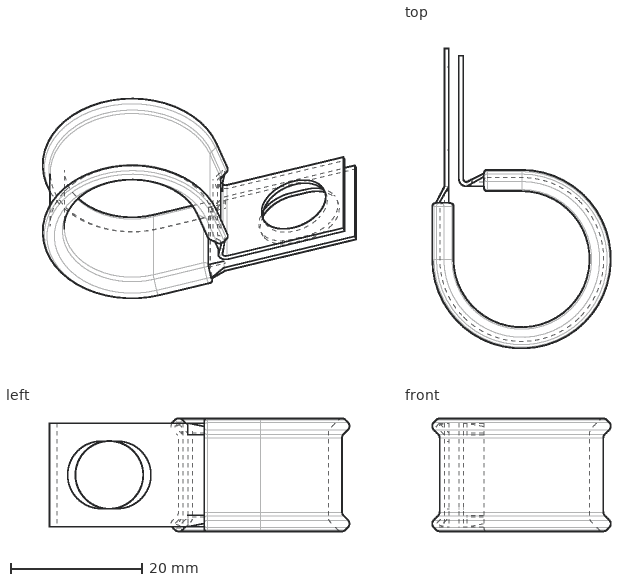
import cadquery as cq
import math


lean = math.radians(45)

ring_outer_radius = 13.625
cushion_height = 17.25
cushion_thickness = 2.15
groove_radius = 12.5
bore_radius = groove_radius - cushion_thickness
lip_rounding = 0.8
groove_fold_rounding = 0.75
bore_fold_rounding = 1.0
ring_sweep_angle = 270

side_leg_length = 8.5625
cross_leg_length = 5.75
leg_end_rounding = 0.5

strap_thickness = 0.7
strap_half_width = 7.9
strap_inner = (bore_radius + groove_radius - strap_thickness) / 2
strap_outer = strap_inner + strap_thickness
outer_fold_height = 6.12
inner_fold_height = outer_fold_height + strap_thickness * math.tan(lean / 2)
side_tab_end = 32.125
cross_tab_end = 31.0
tab_gap = 1.5
bend_inner_radius = 0.5
bend_outer_radius = bend_inner_radius + strap_thickness

hole_y = 23.0
hole_diameter = 10.3
slot_length = 12.7


def point_towards(start, end, distance):
    """Point at a distance from start, on the line to end."""
    span = math.dist(start, end)
    return tuple(a + (b - a) * distance / span for a, b in zip(start, end))


def corner_arc(before, corner, after, radius):
    """Start, middle and end of the arc that rounds one corner of an outline."""
    ray_in = point_towards(corner, before, 1)
    ray_out = point_towards(corner, after, 1)
    half_angle = math.asin(math.dist(ray_in, ray_out) / 2)
    tangent_length = radius / math.tan(half_angle)
    bisector = tuple((a + b) / 2 for a, b in zip(ray_in, ray_out))
    middle_distance = radius / math.sin(half_angle) - radius
    return (
        point_towards(corner, before, tangent_length),
        point_towards(corner, bisector, middle_distance),
        point_towards(corner, after, tangent_length),
    )


def rounded_outline(plane, corners):
    """Closed outline through (x, y, rounding radius) corners."""
    points = [(x, y) for x, y, _ in corners]
    count = len(corners)
    arcs = []
    for i in range(count):
        arcs.append(corner_arc(points[i - 1], points[i], points[(i + 1) % count], corners[i][2]))
    outline = cq.Workplane(plane).moveTo(*arcs[-1][2])
    for start, middle, end in arcs:
        outline = outline.lineTo(*start).threePointArc(middle, end)
    return outline.close()


def cushion_profile(plane, side):
    """Channel section; side is the sign of the local x axis it lies on."""
    corner_reach = lip_rounding / math.sin(lean)
    side_center_r = ring_outer_radius - lip_rounding
    top_center_z = cushion_height / 2 - lip_rounding
    center_shift = (cushion_thickness - 2 * lip_rounding) * math.sin(lean)
    side_corner = (side_center_r + corner_reach, top_center_z - center_shift)
    top_corner = (side_center_r - center_shift, top_center_z + corner_reach)
    groove_fold_z = side_corner[1] - (side_corner[0] - groove_radius) / math.tan(lean)
    bore_fold_z = top_corner[1] - (top_corner[0] - bore_radius) / math.tan(lean)
    upper = [
        (groove_radius, groove_fold_z, groove_fold_rounding),
        (*side_corner, lip_rounding),
        (*top_corner, lip_rounding),
        (bore_radius, bore_fold_z, bore_fold_rounding),
    ]
    lower = [(r, -z, rounding) for r, z, rounding in reversed(upper)]
    return rounded_outline(plane, [(side * r, z, rounding) for r, z, rounding in upper + lower])


def make_cushion():
    """Three-quarter ring with a straight, round-ended leg at each end."""
    ring = cushion_profile("XZ", -1).revolve(ring_sweep_angle, (0, 0), (0, 1))
    side_leg = cushion_profile("XZ", -1).extrude(-side_leg_length)
    side_leg = side_leg.faces(">Y").edges().fillet(leg_end_rounding)
    cross_leg = cushion_profile("YZ", 1).extrude(-cross_leg_length)
    cross_leg = cross_leg.faces("<X").edges().fillet(leg_end_rounding)
    return ring.union(side_leg).union(cross_leg)


def strap_section(edge_inner, edge_outer):
    """Strap section as (r, z) points, given the two corners of its upper edge."""
    upper = [
        (strap_outer, outer_fold_height),
        edge_outer,
        edge_inner,
        (strap_inner, inner_fold_height),
    ]
    return upper + [(r, -z) for r, z in reversed(upper)]


def make_transition(place, flat_at, folded_at):
    """Strap whose edges fold outwards between two stations along a leg."""
    flat = strap_section((strap_inner, strap_half_width), (strap_outer, strap_half_width))
    edge_step = strap_thickness * math.sin(lean)
    edge_r = strap_inner + (strap_half_width - inner_fold_height) * math.tan(lean)
    folded = strap_section(
        (edge_r, strap_half_width),
        (edge_r + edge_step, strap_half_width - edge_step),
    )
    wires = []
    for section, station in ((flat, flat_at), (folded, folded_at)):
        points = [cq.Vector(*place(r, station, z)) for r, z in section]
        wires.append(cq.Wire.makePolygon(points, close=True))
    return cq.Workplane(cq.Solid.makeLoft(wires, True))


def tab_hole_tool(x_center, length):
    """Cutter for a tab: a slot, or a round hole when it is no longer than it is high."""
    tool = cq.Workplane("YZ", origin=(x_center - strap_thickness, 0, 0)).center(hole_y, 0)
    if length > hole_diameter:
        tool = tool.slot2D(length, hole_diameter)
    else:
        tool = tool.circle(hole_diameter / 2)
    return tool.extrude(2 * strap_thickness)


def make_side_strap():
    """Flat tab along the side leg, with the slotted hole."""
    flat_start = strap_inner
    x_center = -(strap_inner + strap_outer) / 2
    length = side_tab_end - flat_start
    tab = cq.Workplane("XY").box(strap_thickness, length, 2 * strap_half_width)
    tab = tab.translate((x_center, flat_start + length / 2, 0))
    transition = make_transition(lambda r, s, z: (-r, s, z), flat_start, side_leg_length)
    return tab.cut(tab_hole_tool(x_center, slot_length)).union(transition)


def make_cross_strap():
    """Tab bent towards +Y from the cross leg, with the round hole."""
    tab_left = -strap_inner + tab_gap
    tab_right = tab_left + strap_thickness
    bend_x = tab_left + bend_outer_radius
    bend_y = strap_inner + bend_outer_radius
    diagonal = math.sin(math.radians(45))
    outer_middle = (bend_x - bend_outer_radius * diagonal, bend_y - bend_outer_radius * diagonal)
    inner_middle = (bend_x - bend_inner_radius * diagonal, bend_y - bend_inner_radius * diagonal)
    tab = (
        cq.Workplane("XY", origin=(0, 0, -strap_half_width))
        .moveTo(bend_x, strap_inner)
        .threePointArc(outer_middle, (tab_left, bend_y))
        .lineTo(tab_left, cross_tab_end)
        .lineTo(tab_right, cross_tab_end)
        .lineTo(tab_right, bend_y)
        .threePointArc(inner_middle, (bend_x, strap_outer))
        .close()
        .extrude(2 * strap_half_width)
    )
    transition = make_transition(lambda r, s, z: (s, r, z), bend_x, -cross_leg_length)
    hole = tab_hole_tool((tab_left + tab_right) / 2, hole_diameter)
    return tab.cut(hole).union(transition)


result = make_cushion().union(make_side_strap()).union(make_cross_strap())